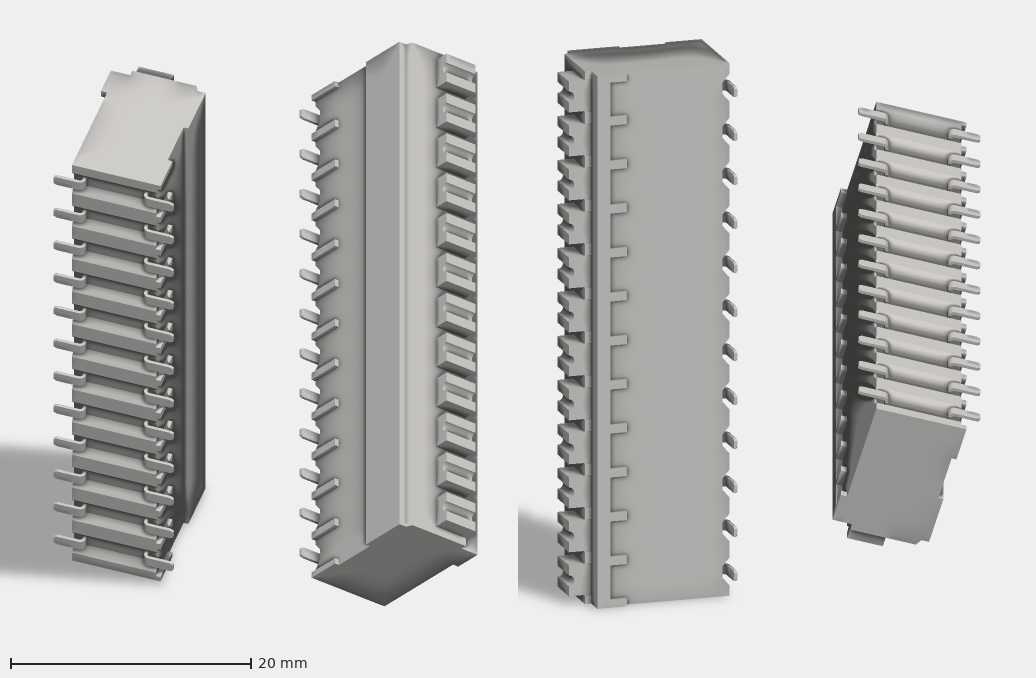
import cadquery as cq


length = 46.1
pole_count = 12
pitch = 3.81
end_margin = (length - (pole_count - 1) * pitch) / 2
pole_centers = [end_margin + i * pitch for i in range(pole_count)]

core_half_width = 3.7
left_face = -4.25
right_face = 4.1
base_y = 0.2
top_y = 12.45
shoulder_y = 11.9
ridge_left = -2.55
ridge_right = 3.15
ridge_chamfer_width = 0.28

left_flange_y = 10.75
left_rib_y = 9.3
left_rib_width = 0.7
left_end_rib_width = 0.65
right_flange_y = 7.42
right_foot_top_y = 3.3
right_rib_width = 0.65
right_end_rib_width = 0.5

groove_depth = 0.6
groove_mouth = 2.4
groove_floor = 1.0

pin_span = 10.5
pin_width = 0.88
pin_thickness = 0.28
pin_leg_inner = 2.6
pin_bend_radius = 0.5
pin_leg_embedment = 0.45
pin_leg_top = base_y + groove_depth + pin_leg_embedment
pin_tip_length = 0.28
pin_tip_inset = 0.15

tab_left = -2.45
tab_right = 0.65
tab_top = 13.85
tab_width = 2.67
tab_notch_radius = 0.45
tab_clearance = 0.1


def block(x0, x1, y0, y1, z0, z1):
    """Box given by its limits on each axis."""
    return cq.Workplane("XY").box(x1 - x0, y1 - y0, z1 - z0, centered=False).translate((x0, y0, z0))


def housing_core():
    """Constant profile of core, shoulder flanges and top ridge."""
    outline = [
        (-core_half_width, base_y),
        (core_half_width, base_y),
        (core_half_width, right_flange_y),
        (right_face, right_flange_y),
        (right_face, shoulder_y),
        (ridge_right + ridge_chamfer_width, shoulder_y),
        (ridge_right, top_y),
        (ridge_left, top_y),
        (ridge_left, shoulder_y),
        (left_face, shoulder_y),
        (left_face, left_flange_y),
        (-core_half_width, left_flange_y),
    ]
    return cq.Workplane("XY").polyline(outline).close().extrude(length)


def rib_row(x0, x1, y0, y1, width, end_width):
    """Ribs between neighbouring poles, plus one at each end of the housing."""
    ribs = block(x0, x1, y0, y1, 0, end_width)
    ribs = ribs.union(block(x0, x1, y0, y1, length - end_width, length))
    for center in pole_centers[:-1]:
        boundary = center + pitch / 2
        ribs = ribs.union(block(x0, x1, y0, y1, boundary - width / 2, boundary + width / 2))
    return ribs


def groove(center):
    """Trapezoidal channel through the base, running the full width in X."""
    half_mouth = groove_mouth / 2
    half_floor = groove_floor / 2
    floor_y = base_y + groove_depth
    return (
        cq.Workplane("YZ")
        .moveTo(base_y, center - half_mouth)
        .lineTo(floor_y, center - half_floor)
        .lineTo(floor_y, center + half_floor)
        .lineTo(base_y, center + half_mouth)
        .close()
        .extrude(pin_span, both=True)
    )


def pin(center):
    """Bent pin whose foot points to +X and whose leg enters the groove floor."""
    tip_x = pin_span / 2
    half_width = pin_width / 2
    inner_radius = pin_bend_radius - pin_thickness
    leg_outer = pin_leg_inner + pin_thickness
    bend_x = pin_leg_inner + pin_bend_radius
    bent_strip = (
        cq.Workplane("XY", origin=(0, 0, center - half_width))
        .moveTo(tip_x, 0)
        .lineTo(tip_x, pin_thickness)
        .lineTo(bend_x, pin_thickness)
        .radiusArc((leg_outer, pin_bend_radius), inner_radius)
        .lineTo(leg_outer, pin_leg_top)
        .lineTo(pin_leg_inner, pin_leg_top)
        .lineTo(pin_leg_inner, pin_bend_radius)
        .radiusArc((bend_x, 0), -pin_bend_radius)
        .close()
        .extrude(pin_width)
    )
    for side in (-1, 1):
        tip_corner = (
            cq.Workplane("XZ")
            .moveTo(tip_x, center + side * half_width)
            .lineTo(tip_x - pin_tip_length, center + side * half_width)
            .lineTo(tip_x, center + side * (half_width - pin_tip_inset))
            .close()
            .extrude(-pin_thickness)
        )
        bent_strip = bent_strip.cut(tip_corner)
    return bent_strip


def tab(center):
    """Release tab with a half-round notch across its outer edge."""
    half_width = tab_width / 2
    body = block(tab_left, tab_right, shoulder_y, tab_top, center - half_width, center + half_width)
    notch = (
        cq.Workplane("YZ")
        .center(tab_top, center)
        .circle(tab_notch_radius)
        .extrude(pin_span, both=True)
    )
    return body.cut(notch)


def tab_slot(center):
    """Opening in the ridge wall in front of a tab."""
    half_width = tab_width / 2 + tab_clearance
    return block(ridge_left, tab_left, shoulder_y, top_y, center - half_width, center + half_width)


result = housing_core()
result = result.union(
    rib_row(left_face, -core_half_width, left_rib_y, left_flange_y, left_rib_width, left_end_rib_width)
)
result = result.union(
    rib_row(core_half_width, right_face, base_y, right_foot_top_y, right_rib_width, right_end_rib_width)
)

for pole_center in pole_centers:
    right_pin = pin(pole_center)
    result = result.cut(groove(pole_center)).cut(tab_slot(pole_center))
    result = result.union(tab(pole_center))
    result = result.union(right_pin).union(right_pin.mirror("YZ"))